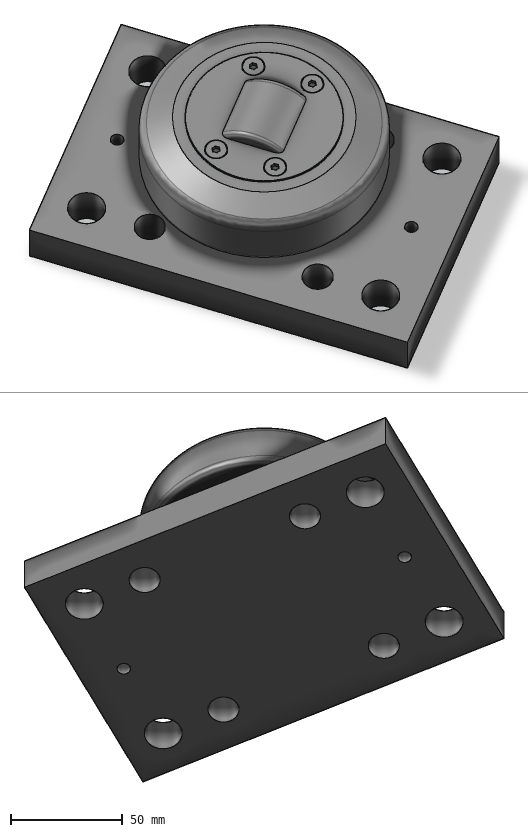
import cadquery as cq

plate_length = 180.0
plate_width = 120.0
plate_thickness = 20.0

large_hole_diameter = 17.0
medium_hole_diameter = 13.9
small_hole_diameter = 6.0
outer_hole_x = 70.0
inner_hole_x = 40.0
hole_row_y = 40.0

wheel_diameter = 112.1
wheel_bottom_z = 39.5
wheel_top_z = 71.1
wheel_flat_diameter = 82.0
cone_edge_z = 65.3
bottom_edge_radius = 3.2
shoulder_radius = 5.2

pin_diameter = 71.0
pin_top_z = 71.6
cap_diameter = 70.5
cap_gap_depth = 1.0

roller_radius = 20.9
roller_length = 34.0
roller_edge_radius = 2.5
roller_top_z = 77.5

screw_x = 14.0
screw_y = 24.3
screw_head_diameter = 9.7
screw_recess_diameter = 10.3
screw_recess_depth = 1.0
socket_size = 3.8
socket_depth = 1.8


def four_corners(x, y):
    return [(sx * x, sy * y) for sx in (-1, 1) for sy in (-1, 1)]


def make_plate():
    plate = cq.Workplane("XY").box(
        plate_length, plate_width, plate_thickness, centered=(True, True, False)
    )
    hole_groups = (
        (large_hole_diameter, four_corners(outer_hole_x, hole_row_y)),
        (medium_hole_diameter, four_corners(inner_hole_x, hole_row_y)),
        (small_hole_diameter, [(-outer_hole_x, 0), (outer_hole_x, 0)]),
    )
    for diameter, points in hole_groups:
        plate = plate.faces(">Z").workplane(origin=(0, 0, 0)).pushPoints(points).hole(diameter)
    return plate


def make_wheel():
    wheel_radius = wheel_diameter / 2
    wheel = (
        cq.Workplane("XZ")
        .moveTo(0, wheel_bottom_z)
        .lineTo(wheel_radius, wheel_bottom_z)
        .lineTo(wheel_radius, cone_edge_z)
        .lineTo(wheel_flat_diameter / 2, wheel_top_z)
        .lineTo(0, wheel_top_z)
        .close()
        .revolve(360, (0, 0), (0, 1))
    )
    wheel = wheel.faces("<Z").edges().fillet(bottom_edge_radius)
    return wheel.faces("%CONE").edges("<Z").fillet(shoulder_radius)


def make_pin():
    return (
        cq.Workplane("XY")
        .workplane(offset=plate_thickness)
        .circle(pin_diameter / 2)
        .extrude(pin_top_z - plate_thickness)
    )


def add_cap_gap(body):
    """Cut the narrow ring gap between the cap on the pin and the wheel bore."""
    gap = (
        cq.Workplane("XY")
        .workplane(offset=pin_top_z)
        .circle(pin_diameter / 2)
        .circle(cap_diameter / 2)
        .extrude(-cap_gap_depth)
    )
    return body.cut(gap)


def make_roller():
    return (
        cq.Workplane("XZ")
        .center(0, roller_top_z - roller_radius)
        .circle(roller_radius)
        .extrude(roller_length / 2, both=True)
        .edges("%CIRCLE")
        .fillet(roller_edge_radius)
    )


def add_screws(body):
    """Leave each flush screw head inside an annular gap, with a hex socket."""
    points = four_corners(screw_x, screw_y)
    top = cq.Workplane("XY").workplane(offset=pin_top_z).pushPoints(points)
    gaps = top.circle(screw_recess_diameter / 2).circle(screw_head_diameter / 2).extrude(-screw_recess_depth)
    sockets = top.polygon(6, socket_size).extrude(-socket_depth)
    return body.cut(gaps).cut(sockets)


body = make_plate().union(make_wheel()).union(make_pin())
result = add_screws(add_cap_gap(body)).union(make_roller())